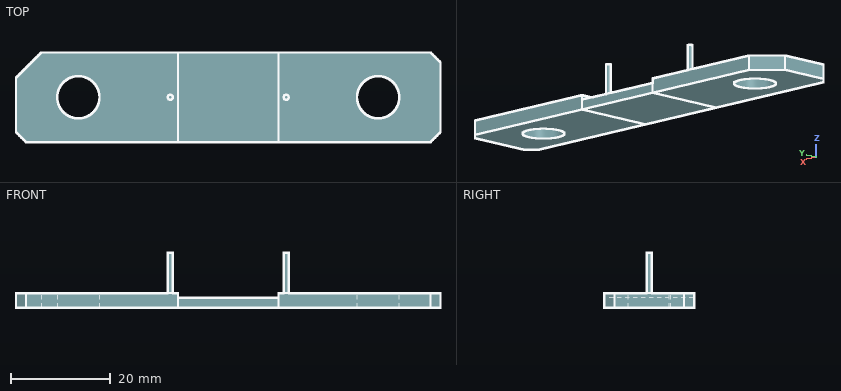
import cadquery as cq

total_length = 85.0
width = 18.0
total_height = 11.05

plate_thickness = 3.0
strip_thickness = 2.0
strip_length = 20.1
plate_length = (total_length - strip_length) / 2
small_chamfer = 2.0
large_chamfer = 5.1

hole_diameter = 8.4
hole_spacing = 60.0
pin_diameter = 1.0
pin_spacing = 23.2
pin_length = total_height - plate_thickness


def terminal_plate(side, rear_chamfer):
    """Plate with two cut outer corners and a bolt hole; side is -1 for left, 1 for right."""
    plate = cq.Workplane("XY").box(
        plate_length, width, plate_thickness, centered=(True, True, False)
    ).translate((side * (strip_length + plate_length) / 2, 0, 0))
    outer_end = "<X" if side < 0 else ">X"
    plate = plate.edges("|Z and <Y").edges(outer_end).chamfer(small_chamfer)
    plate = plate.edges("|Z and >Y").edges(outer_end).chamfer(rear_chamfer)
    bolt_hole = (
        cq.Workplane("XY")
        .center(side * hole_spacing / 2, 0)
        .circle(hole_diameter / 2)
        .extrude(plate_thickness)
    )
    return plate.cut(bolt_hole)


def resistive_strip():
    """Thin strip that joins the plates, flush with their undersides."""
    return cq.Workplane("XY").box(
        strip_length, width, strip_thickness, centered=(True, True, False)
    )


def sense_pin(side):
    """Round pin standing on the top face of a terminal plate."""
    return (
        cq.Workplane("XY", origin=(side * pin_spacing / 2, 0, plate_thickness))
        .circle(pin_diameter / 2)
        .extrude(pin_length)
    )


left_plate = terminal_plate(-1, large_chamfer)
right_plate = terminal_plate(1, small_chamfer)
strip = resistive_strip()
pins = [sense_pin(side) for side in (-1, 1)]

result = cq.Compound.makeCompound(
    [left_plate.val(), right_plate.val(), strip.val(), *[pin.val() for pin in pins]]
)